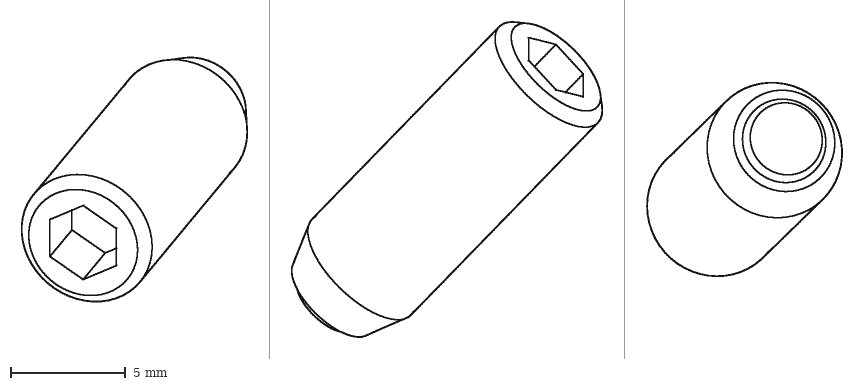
import cadquery as cq
import math

overall_length = 16.0
body_diameter = 6.0
drive_chamfer = 0.5
nose_diameter = 4.5
nose_half_angle = 20.0

hex_across_flats = 3.05
hex_depth = 3.0

ball_diameter = 4.0
ball_flat_diameter = 3.2
ball_protrusion = 0.45

body_radius = body_diameter / 2
nose_radius = nose_diameter / 2
body_length = overall_length - ball_protrusion
nose_length = (body_radius - nose_radius) / math.tan(math.radians(nose_half_angle))
hex_across_corners = hex_across_flats / math.cos(math.radians(30))
ball_radius = ball_diameter / 2
flat_radius = ball_flat_diameter / 2
flat_offset = math.sqrt(ball_radius**2 - flat_radius**2)
ball_center_y = overall_length - flat_offset


def make_ball():
    """Ball with one flat, revolved about Y; the flat faces +Y."""
    return (
        cq.Workplane("XY")
        .moveTo(0, ball_center_y - ball_radius)
        .threePointArc((ball_radius, ball_center_y), (flat_radius, overall_length))
        .lineTo(0, overall_length)
        .close()
        .revolve(360, (0, 0, 0), (0, 1, 0))
    )


def make_hex_socket():
    """Hexagonal prism with two corners on the Z axis, from the drive face inward."""
    return (
        cq.Workplane("XZ")
        .transformed(rotate=(0, 0, 90))
        .polygon(6, hex_across_corners)
        .extrude(-hex_depth)
    )


def make_screw_body(ball):
    """Chamfered cylinder with a tapered nose, a hexagon socket and a seat for the ball."""
    blank = (
        cq.Workplane("XY")
        .polyline(
            [
                (0, 0),
                (body_radius - drive_chamfer, 0),
                (body_radius, drive_chamfer),
                (body_radius, body_length - nose_length),
                (nose_radius, body_length),
                (0, body_length),
            ]
        )
        .close()
        .revolve(360, (0, 0, 0), (0, 1, 0))
    )
    return blank.cut(make_hex_socket()).cut(ball)


ball = make_ball()
screw_body = make_screw_body(ball)

result = cq.Compound.makeCompound([screw_body.solids().val(), ball.val()])